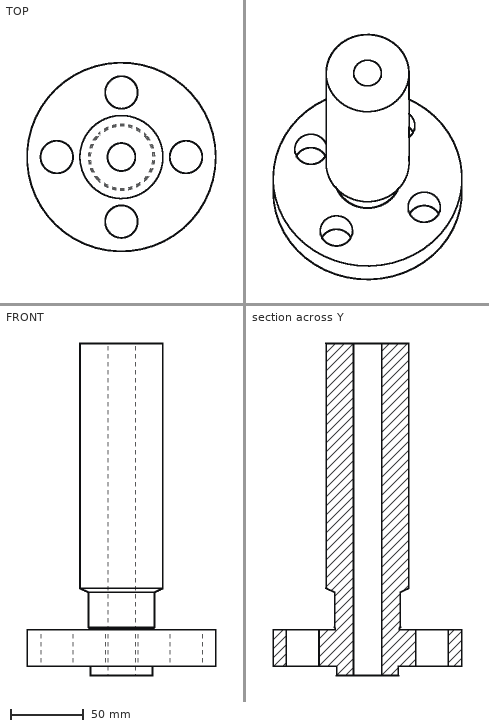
import cadquery as cq

total_length = 228.6
bore_diameter = 19.05

flange_diameter = 130.01
flange_thickness = 25.4
raised_face_diameter = 42.9
raised_face_height = 6.35

bolt_hole_diameter = 22.2
bolt_circle_diameter = 88.9
bolt_hole_count = 4

neck_diameter = 45.7
neck_base_diameter = 44.5
neck_base_height = 0.9
neck_taper_height = 0.7
barrel_diameter = 57.15
barrel_bottom = 60.0
shoulder_height = 2.7

flange_bottom = raised_face_height
flange_top = flange_bottom + flange_thickness
neck_base_top = flange_top + neck_base_height
neck_bottom = neck_base_top + neck_taper_height
shoulder_bottom = barrel_bottom - shoulder_height


def make_body():
    """Revolve the outer half-profile about the Z axis."""
    raised_face_radius = raised_face_diameter / 2
    flange_radius = flange_diameter / 2
    neck_base_radius = neck_base_diameter / 2
    neck_radius = neck_diameter / 2
    barrel_radius = barrel_diameter / 2
    profile = [
        (0, 0),
        (raised_face_radius, 0),
        (raised_face_radius, flange_bottom),
        (flange_radius, flange_bottom),
        (flange_radius, flange_top),
        (neck_base_radius, flange_top),
        (neck_base_radius, neck_base_top),
        (neck_radius, neck_bottom),
        (neck_radius, shoulder_bottom),
        (barrel_radius, barrel_bottom),
        (barrel_radius, total_length),
        (0, total_length),
    ]
    return cq.Workplane("XZ").polyline(profile).close().revolve(360, (0, 0), (0, 1))


def make_bore():
    """Through bore along the axis."""
    return cq.Workplane("XY").circle(bore_diameter / 2).extrude(total_length)


def make_bolt_holes():
    """Bolt holes through the flange, the first one on the +X axis."""
    return (
        cq.Workplane("XY")
        .workplane(offset=flange_bottom)
        .polarArray(bolt_circle_diameter / 2, 0, 360, bolt_hole_count)
        .circle(bolt_hole_diameter / 2)
        .extrude(flange_thickness)
    )


result = make_body().cut(make_bore()).cut(make_bolt_holes())